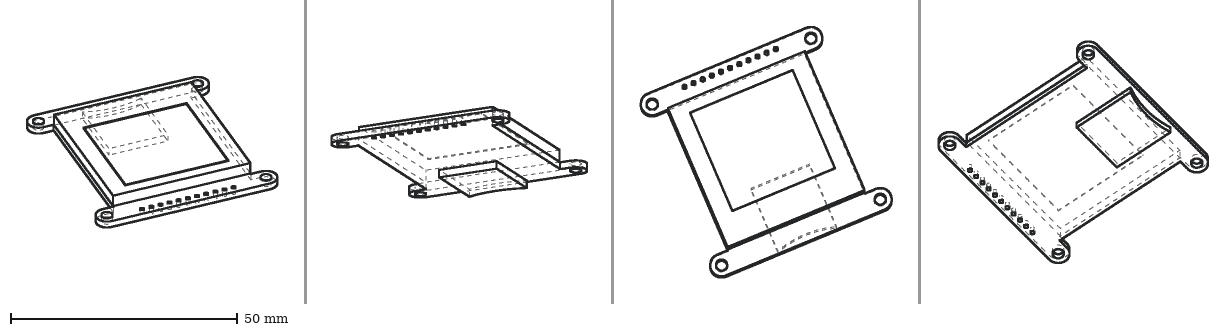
import cadquery as cq

board_length = 44.45
rail_length = 43.15
rail_width = 5.05
board_thickness = 1.6
web_width = 32.9
mount_hole_diameter = 2.5
mount_pitch_x = board_length - rail_width
mount_pitch_y = rail_length - rail_width

pin_hole_diameter = 0.9
pin_hole_count = 11
pin_row_length = 21.9
pin_hole_pitch = pin_row_length / (pin_hole_count - 1)
pin_row_x = 20.5

panel_length = 33.95
panel_width = web_width
panel_height = 2.8
screen_length = 24.0
screen_width = 24.63
screen_depth = 0.22
screen_offset_x = 2.15

socket_length = 15.3
socket_width = 14.1
socket_height = 1.75
socket_edge_gap = 0.9
socket_offset_y = -0.8
mouth_depth = 1.15


def make_board():
    web = cq.Workplane("XY").rect(mount_pitch_x, web_width).extrude(board_thickness)
    rails = (
        cq.Workplane("XY")
        .pushPoints([(-mount_pitch_x / 2, 0), (mount_pitch_x / 2, 0)])
        .slot2D(rail_length, rail_width, 90)
        .extrude(board_thickness)
    )
    mount_holes = (
        cq.Workplane("XY")
        .rect(mount_pitch_x, mount_pitch_y, forConstruction=True)
        .vertices()
        .circle(mount_hole_diameter / 2)
        .extrude(board_thickness)
    )
    pin_holes = (
        cq.Workplane("XY")
        .center(pin_row_x, 0)
        .rarray(0.45, pin_hole_pitch, 1, pin_hole_count)
        .circle(pin_hole_diameter / 2)
        .extrude(board_thickness)
    )
    return web.union(rails).cut(mount_holes).cut(pin_holes)


def make_panel():
    block = (
        cq.Workplane("XY", origin=(0, 0, board_thickness))
        .rect(panel_length, panel_width)
        .extrude(panel_height)
    )
    screen_recess = (
        cq.Workplane("XY", origin=(screen_offset_x, 0, board_thickness + panel_height))
        .rect(screen_length, screen_width)
        .extrude(-screen_depth)
    )
    return block.cut(screen_recess)


def make_socket():
    mouth_x = -board_length / 2 + socket_edge_gap
    back_x = mouth_x + socket_length
    low_y = socket_offset_y - socket_width / 2
    high_y = socket_offset_y + socket_width / 2
    return (
        cq.Workplane("XY")
        .moveTo(mouth_x, low_y)
        .lineTo(back_x, low_y)
        .lineTo(back_x, high_y)
        .lineTo(mouth_x, high_y)
        .threePointArc((mouth_x + mouth_depth, socket_offset_y), (mouth_x, low_y))
        .close()
        .extrude(-socket_height)
    )


board = make_board()
panel = make_panel()
socket = make_socket()

result = cq.Compound.makeCompound([board.val(), panel.val(), socket.val()])